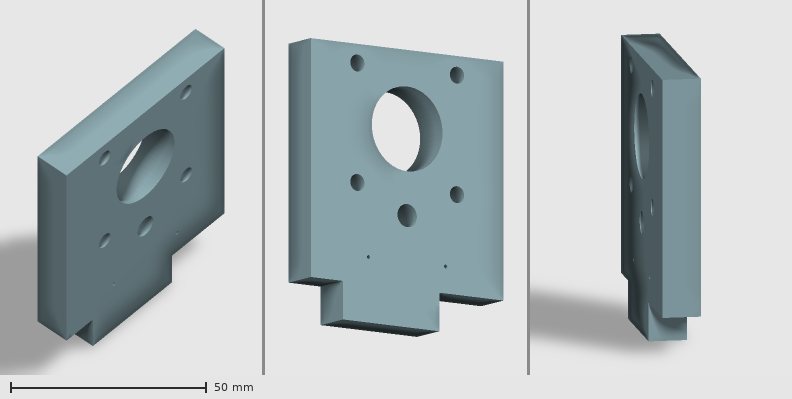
import cadquery as cq

thickness = 10.0
plate_width = 60.0
plate_height = 62.0

tab_width = 30.0
tab_height = 10.0
tab_offset_y = -5.0

motor_screw_spacing = 31.0
motor_screw_diameter = 4.4
motor_screw_top_margin = 5.0
motor_bore_diameter = 22.0
motor_centre_z = plate_height - motor_screw_top_margin - motor_screw_spacing / 2

shaft_hole_diameter = 6.0
shaft_hole_z = 19.0

pin_hole_diameter = 1.0
pin_hole_spacing = 24.0
pin_hole_z = 7.0


def block(width, height, centre_y, bottom_z):
    """Full-thickness block centred on X = 0."""
    return (
        cq.Workplane("XY")
        .box(thickness, width, height, centered=(True, True, False))
        .translate((0, centre_y, bottom_z))
    )


def drill(body, diameter, centres):
    """Cut through holes along X at the given (y, z) centres."""
    cutters = (
        cq.Workplane("YZ")
        .pushPoints(centres)
        .circle(diameter / 2)
        .extrude(thickness, both=True)
    )
    return body.cut(cutters)


def side_pair(spacing, z):
    """Two (y, z) centres placed symmetrically about the plate's centre line."""
    return [(side * spacing / 2, z) for side in (-1, 1)]


plate = block(plate_width, plate_height, 0, 0)
tab = block(tab_width, tab_height, tab_offset_y, -tab_height)
body = plate.union(tab)

body = drill(body, motor_bore_diameter, [(0, motor_centre_z)])
for level in (-1, 1):
    screw_z = motor_centre_z + level * motor_screw_spacing / 2
    body = drill(body, motor_screw_diameter, side_pair(motor_screw_spacing, screw_z))
body = drill(body, shaft_hole_diameter, [(0, shaft_hole_z)])
body = drill(body, pin_hole_diameter, side_pair(pin_hole_spacing, pin_hole_z))

result = body